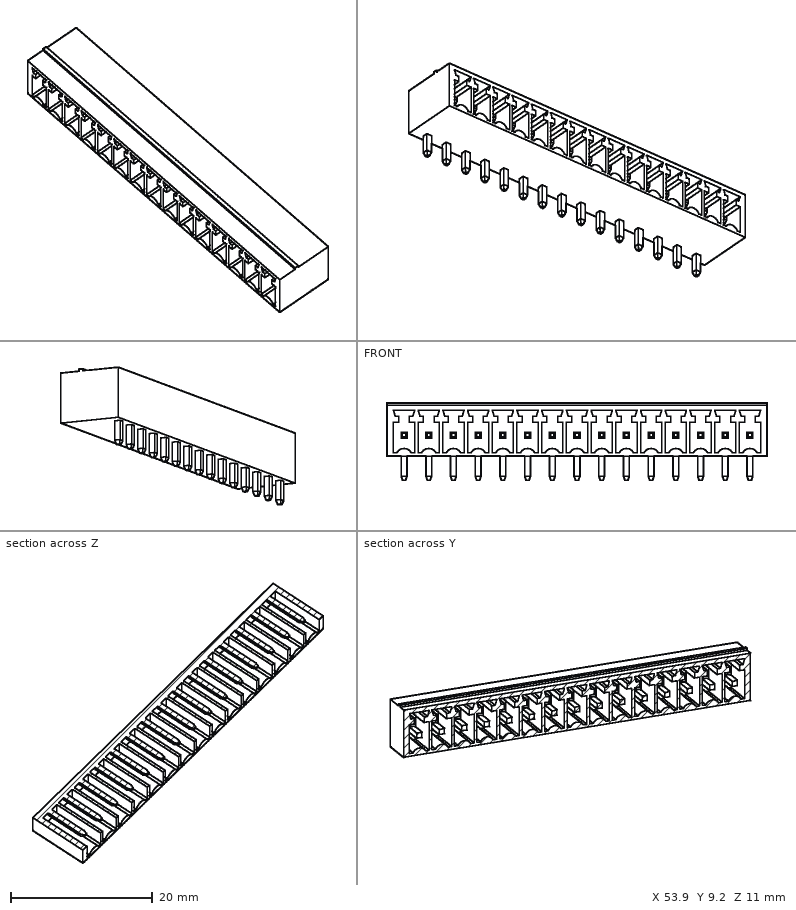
import cadquery as cq

contact_count = 15
pitch = 3.5
end_margin = 2.45
contact_xs = [end_margin + pitch * i for i in range(contact_count)]

housing_length = (contact_count - 1) * pitch + 2 * end_margin
housing_depth = 9.2
housing_height = 7.25

rib_height = 0.3
rib_center_y = 3.2
rib_width = 0.6

cavity_depth = 8.0
cavity_width = 3.0
cavity_floor = 0.5
shoulder_height = 4.8
keyway_floor = 5.7
cavity_top = 6.5
neck_width = 1.5
keyway_floor_width = 2.5
floor_arch_width = 2.0
floor_arch_top = 1.1

pin_width = 0.85
pin_height = 3.0
cavity_tip_y = 1.5
pin_embedding = 0.4
board_leg_y = 8.0
board_leg_length = 3.4
tip_length = 0.6
tip_width = 0.45


def make_housing():
    block = cq.Workplane("XY").box(housing_length, housing_depth, housing_height, centered=False)
    rib = cq.Workplane("XY", origin=(0, rib_center_y - rib_width / 2, housing_height)).box(
        housing_length, rib_width, rib_height, centered=False
    )
    return block.union(rib)


def make_cavity(x):
    """Plug opening with an arched floor and a dovetail keyway above a narrow neck."""
    half_cavity = cavity_width / 2
    half_neck = neck_width / 2
    half_keyway = keyway_floor_width / 2
    half_arch = floor_arch_width / 2
    return (
        cq.Workplane("XZ", origin=(x, 0, 0))
        .moveTo(-half_cavity, cavity_floor)
        .lineTo(-half_arch, cavity_floor)
        .threePointArc((0, floor_arch_top), (half_arch, cavity_floor))
        .lineTo(half_cavity, cavity_floor)
        .lineTo(half_cavity, shoulder_height)
        .lineTo(half_neck, shoulder_height)
        .lineTo(half_neck, keyway_floor)
        .lineTo(half_keyway, keyway_floor)
        .lineTo(half_cavity, cavity_top)
        .lineTo(-half_cavity, cavity_top)
        .lineTo(-half_keyway, keyway_floor)
        .lineTo(-half_neck, keyway_floor)
        .lineTo(-half_neck, shoulder_height)
        .lineTo(-half_cavity, shoulder_height)
        .close()
        .extrude(-cavity_depth)
    )


def make_leg(root, direction, length):
    """Square leg from the root point along a direction, ending in a tapered tip."""
    plane = cq.Plane(origin=root, xDir=(1, 0, 0), normal=direction)
    shaft_length = length - tip_length
    shaft = cq.Workplane(plane).rect(pin_width, pin_width).extrude(shaft_length)
    tip = (
        cq.Workplane(plane)
        .workplane(offset=shaft_length)
        .rect(pin_width, pin_width)
        .workplane(offset=tip_length)
        .rect(tip_width, tip_width)
        .loft(ruled=True)
    )
    return shaft.union(tip)


def make_contact(x):
    """Cavity leg, embedded a little into the back wall, and board leg below the housing."""
    cavity_leg_root_y = cavity_depth + pin_embedding
    cavity_leg = make_leg((x, cavity_leg_root_y, pin_height), (0, -1, 0), cavity_leg_root_y - cavity_tip_y)
    board_leg = make_leg((x, board_leg_y, 0), (0, 0, -1), board_leg_length)
    return cavity_leg, board_leg


result = make_housing()
for contact_x in contact_xs:
    result = result.cut(make_cavity(contact_x))
for contact_x in contact_xs:
    for leg in make_contact(contact_x):
        result = result.union(leg)